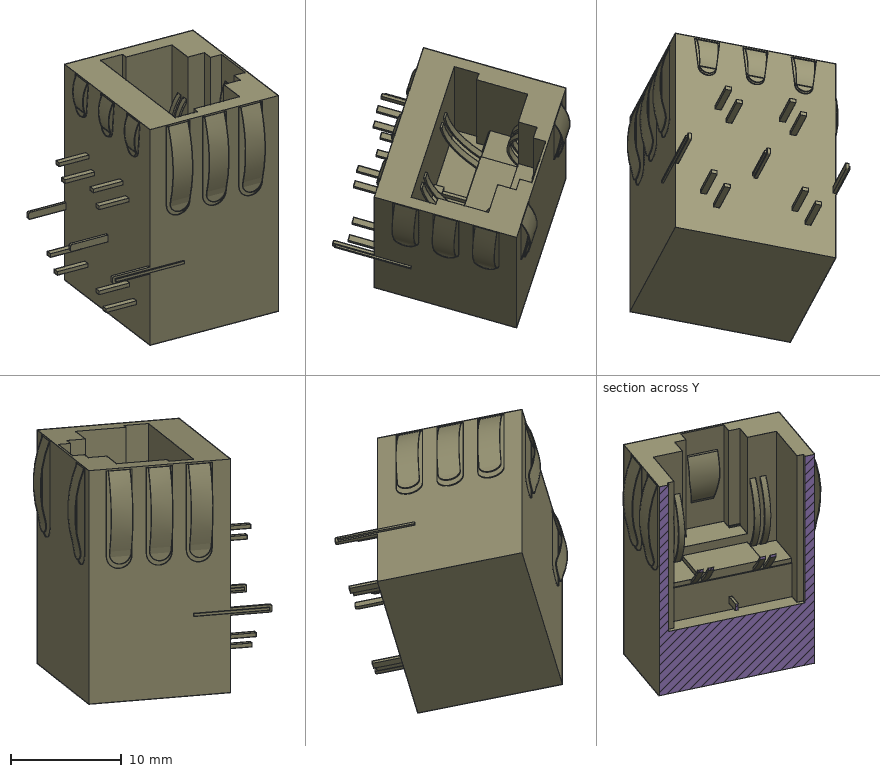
import cadquery as cq
import math


width = 15.25
depth = 13.48
height = 21.85
overlap = 0.22

lower_half_width = 6.66
main_half_width = 6.03
latch_half_width = 3.19
notch_half_width = 2.1
cavity_front = 3.2
shoulder_y = 5.53
pit_back = 6.65
main_back = 10.33
latch_back = 12.08
notch_back = 13.24
pit_floor = 6.55
side_floor = 10.48
middle_floor = 10.92
latch_floor = 11.8
ledge_width = 0.13
pit_ledge_z = 10.05
main_front = pit_back + ledge_width

shield_thickness = 0.09
spring_top = 21.67
side_spring_pitch = 3.8
side_spring_middle = 6.77
front_spring_pitch = 4.59
back_spring_offset = 5.09

wide_half_width = 1.03
wide_bulge = 0.85
wide_arc_end = (0.4, 14.2)
wide_tail_offset = 0.3
wide_bend_end = 13.65
wide_round_start = 13.87
wide_tip = 12.95
wide_opening_half_width = 1.22
wide_opening_tip = 12.47

tapered_top_half_width = 1.0
tapered_end_half_width = 0.79
tapered_bulge = 0.41
tapered_arc_end = (0.17, 18.56)
tapered_tail_offset = 0.17
tapered_bend_end = 18.35
tapered_round_start = 18.63
tapered_tip = 17.95
tapered_opening_top_half_width = 1.18
tapered_opening_end_half_width = 0.85
tapered_opening_tip = 17.85

latch_spring_top = 19.44
latch_spring_bottom = 14.41
latch_spring_half_width = 1.49
latch_spring_end_half_width = 1.1
latch_spring_bulge = 0.6

pin_width = 0.57
pin_thickness = 0.37
upper_pin_length = 3.12
lower_pin_length = 3.2
upper_pins = [(-3.55, 14.35), (-2.53, 13.08), (2.53, 14.35), (3.55, 13.08)]
lower_pins = [(-4.95, 4.56), (-3.71, 3.3), (3.71, 4.56), (4.95, 3.3)]
contact_thickness = 0.17
front_contact_top = 17.47
front_contact_bottom = 10.37
front_contact_run_share = 0.35
front_contact_drop_share = 0.6
back_contact_x = [-4.72, -3.71, 3.71, 4.72]
back_contact_top = 17.47
back_contact_bottom = 10.26
back_contact_bulge = 1.15

shield_pin_z = 7.58
shield_pin_thickness = 0.28
shield_pin_height = 0.7
shield_pin_length = 3.93
shield_pin_corner = 0.17
bead_height = 0.26
bead_projection = 0.17
bead_back = 3.52
bead_front = -3.67
foot_width = 0.63
foot_depth = 0.92
foot_height = 0.87


def box(x_min, x_max, y_min, y_max, z_min, z_max):
    size = (x_max - x_min, y_max - y_min, z_max - z_min)
    return cq.Workplane("XY").box(*size, centered=False).translate((x_min, y_min, z_min))


def slot_to_top(half_width, y_min, y_max, floor):
    return box(-half_width, half_width, y_min, y_max, floor, height)


def make_cavity():
    cavity = slot_to_top(lower_half_width, cavity_front, shoulder_y, pit_floor)
    cavity = cavity.union(slot_to_top(main_half_width, cavity_front, pit_back, pit_floor))
    cavity = cavity.union(slot_to_top(main_half_width, pit_back, main_front, pit_ledge_z))
    cavity = cavity.union(slot_to_top(main_half_width, main_front, main_back, side_floor))
    middle_step = box(-latch_half_width, latch_half_width, main_front, main_back, side_floor, middle_floor)
    cavity = cavity.cut(middle_step)
    cavity = cavity.union(slot_to_top(latch_half_width, main_back, latch_back - ledge_width, latch_floor))
    cavity = cavity.union(slot_to_top(latch_half_width, latch_back - ledge_width, latch_back,
                                      latch_floor + ledge_width))
    return cavity.union(slot_to_top(notch_half_width, main_back, notch_back, latch_floor))


def tongue_outline(top_half_width, end_half_width, straight_end, tip):
    """Tongue in the XZ plane: straight or tapered sides and a round end."""
    return (
        cq.Workplane("XZ")
        .moveTo(-top_half_width, spring_top)
        .lineTo(-end_half_width, straight_end)
        .threePointArc((0, tip), (end_half_width, straight_end))
        .lineTo(top_half_width, spring_top)
        .close()
    )


def make_spring(tongue, bulge, arc_end, tail_offset, bend_end, tail_tip):
    """Bowed leaf facing -Y, cut from a sheet to the tongue outline; arc_end is (offset, z)."""
    end_offset, end_z = arc_end
    fall = math.sqrt((bulge - end_offset) / bulge)
    crest_z = spring_top - (spring_top - end_z) / (1 + fall)
    t = shield_thickness
    sheet = (
        cq.Workplane("YZ")
        .moveTo(0, spring_top)
        .threePointArc((-bulge, crest_z), (-end_offset, end_z))
        .lineTo(-tail_offset, bend_end)
        .lineTo(-tail_offset, tail_tip)
        .lineTo(t - tail_offset, tail_tip)
        .lineTo(t - tail_offset, bend_end)
        .lineTo(t - end_offset, end_z)
        .threePointArc((t - bulge, crest_z), (t, spring_top))
        .close()
        .extrude(width / 2, both=True)
    )
    leaf = sheet.intersect(tongue.extrude(depth, both=True))
    root_half_width = leaf.faces(">Z").val().BoundingBox().xlen / 2
    root = box(-root_half_width, root_half_width, 0, t, spring_top - t / 2, spring_top + t)
    return leaf.union(root)


def place(shape, turn, x, y):
    return shape.rotate((0, 0, 0), (0, 0, 1), turn).translate((x, y, 0))


def add_springs(body):
    wide_opening = tongue_outline(wide_opening_half_width, wide_opening_half_width,
                                  wide_bend_end, wide_opening_tip).extrude(-shield_thickness)
    wide_tongue = tongue_outline(wide_half_width, wide_half_width, wide_round_start, wide_tip)
    wide_spring = make_spring(wide_tongue, wide_bulge, wide_arc_end, wide_tail_offset,
                              wide_bend_end, wide_tip)

    tapered_opening = tongue_outline(tapered_opening_top_half_width, tapered_opening_end_half_width,
                                     tapered_round_start, tapered_opening_tip).extrude(-shield_thickness)
    tapered_tongue = tongue_outline(tapered_top_half_width, tapered_end_half_width,
                                    tapered_round_start, tapered_tip)
    tapered_spring = make_spring(tapered_tongue, tapered_bulge, tapered_arc_end, tapered_tail_offset,
                                 tapered_bend_end, tapered_tip)

    sites = []
    for step in (-1, 0, 1):
        side_y = side_spring_middle + step * side_spring_pitch
        sites.append((wide_opening, wide_spring, -90, -width / 2, side_y))
        sites.append((wide_opening, wide_spring, 90, width / 2, side_y))
        sites.append((tapered_opening, tapered_spring, 0, step * front_spring_pitch, 0))
    for side in (-1, 1):
        sites.append((wide_opening, wide_spring, 180, side * back_spring_offset, depth))

    for opening, spring, turn, x, y in sites:
        body = body.cut(place(opening, turn, x, y)).union(place(spring, turn, x, y))
    return body


def bowed_strip(wall_y, top, bottom, bulge, thickness, x_min, x_max):
    """Strip bowed towards -Y out of a wall, with both ends buried in it."""
    middle = (top + bottom) / 2
    return (
        cq.Workplane("YZ")
        .moveTo(wall_y, top)
        .threePointArc((wall_y - bulge, middle), (wall_y, bottom))
        .lineTo(wall_y + thickness, bottom)
        .lineTo(wall_y + thickness, bottom + thickness)
        .lineTo(wall_y, bottom + 2 * thickness)
        .threePointArc((wall_y - bulge + thickness, middle), (wall_y, top - 2 * thickness))
        .lineTo(wall_y + thickness, top - thickness)
        .lineTo(wall_y + thickness, top)
        .close()
        .extrude(x_max - x_min)
        .translate((x_min, 0, 0))
    )


def make_latch_spring():
    """Strip bowed into the notch, tapering below its crest."""
    crest_z = (latch_spring_top + latch_spring_bottom) / 2
    strip = bowed_strip(notch_back, latch_spring_top, latch_spring_bottom, latch_spring_bulge,
                        shield_thickness, -latch_spring_half_width, latch_spring_half_width)
    taper = (
        cq.Workplane("XZ")
        .moveTo(-latch_spring_half_width, latch_spring_top)
        .lineTo(-latch_spring_half_width, crest_z)
        .lineTo(-latch_spring_end_half_width, latch_spring_bottom)
        .lineTo(latch_spring_end_half_width, latch_spring_bottom)
        .lineTo(latch_spring_half_width, crest_z)
        .lineTo(latch_spring_half_width, latch_spring_top)
        .close()
        .extrude(-depth)
    )
    return strip.intersect(taper)


def make_front_contact(x):
    """Blade leaving the front cavity wall near the top and curving back into the step behind the pit."""
    run = main_front - cavity_front
    drop = front_contact_top - front_contact_bottom
    middle_y = cavity_front + front_contact_run_share * run
    middle_z = front_contact_top - front_contact_drop_share * drop
    return (
        cq.Workplane("YZ")
        .moveTo(cavity_front - overlap, front_contact_top)
        .lineTo(cavity_front + contact_thickness, front_contact_top)
        .threePointArc((middle_y + contact_thickness, middle_z), (main_front, front_contact_bottom))
        .lineTo(main_front + overlap, front_contact_bottom)
        .lineTo(main_front + overlap, front_contact_bottom - 2 * contact_thickness)
        .lineTo(main_front, front_contact_bottom - 2 * contact_thickness)
        .threePointArc((middle_y, middle_z), (cavity_front, front_contact_top - contact_thickness))
        .lineTo(cavity_front - overlap, front_contact_top - contact_thickness)
        .close()
        .extrude(pin_width / 2, both=True)
        .translate((x, 0, 0))
    )


def make_signal_pin(x, z, length):
    pin = box(-pin_width / 2, pin_width / 2, -length, overlap, -pin_thickness / 2, pin_thickness / 2)
    return pin.translate((x, 0, z))


def make_shield_pin(inner_end):
    """Flat blade spanning X = 0 to its thickness, with a stiffening bead on its -X face."""
    half_height = shield_pin_height / 2
    blade = box(0, shield_pin_thickness, -shield_pin_length, inner_end, -half_height, half_height)
    blade = blade.faces("<Y").edges("|X").fillet(shield_pin_corner)
    bead = box(-bead_projection, shield_pin_thickness, bead_front, bead_back,
               -bead_height / 2, bead_height / 2)
    return blade.union(bead).translate((0, 0, shield_pin_z))


def add_shield_pins(body):
    left = make_shield_pin(overlap).translate((-width / 2, 0, 0))
    centre = make_shield_pin(pit_back + overlap).translate((-shield_pin_thickness / 2, 0, 0))
    foot_right = shield_pin_thickness / 2
    foot = box(foot_right - foot_width, foot_right, cavity_front - overlap, cavity_front + foot_depth,
               shield_pin_z - foot_height / 2, shield_pin_z + foot_height / 2)
    return body.union(left).union(left.mirror("YZ")).union(centre).union(foot)


body = box(-width / 2, width / 2, 0, depth, 0, height).cut(make_cavity())
body = add_springs(body)
body = body.union(make_latch_spring())

for pin_x, pin_z in upper_pins:
    body = body.union(make_signal_pin(pin_x, pin_z, upper_pin_length))
    body = body.union(make_front_contact(pin_x))
for pin_x, pin_z in lower_pins:
    body = body.union(make_signal_pin(pin_x, pin_z, lower_pin_length))
for contact_x in back_contact_x:
    body = body.union(bowed_strip(main_back, back_contact_top, back_contact_bottom, back_contact_bulge,
                                  contact_thickness, contact_x - pin_width / 2, contact_x + pin_width / 2))

result = add_shield_pins(body)